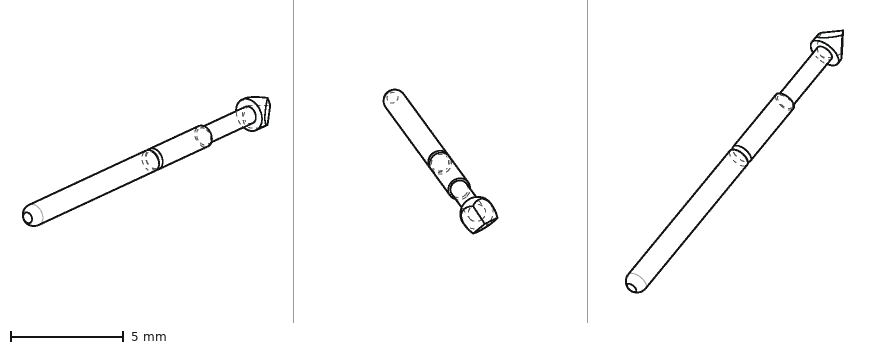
import cadquery as cq
import math

total_length = 17.0

head_diameter = 1.5
head_length = 1.5
facet_count = 3
facet_angle = 30.0

stem_diameter = 0.8
stem_length = 3.2

barrel_diameter = 1.0
tail_flat_diameter = 0.5
groove_offset = 3.575
groove_width = 0.25
groove_depth = 0.1

head_radius = head_diameter / 2
stem_radius = stem_diameter / 2
barrel_radius = barrel_diameter / 2
tail_flat_radius = tail_flat_diameter / 2

barrel_front = -stem_length
tail_end = head_length - total_length
dome_length = math.sqrt(barrel_radius**2 - tail_flat_radius**2)
dome_start = tail_end + dome_length


def turned_body():
    """Head blank, stem and barrel, turned around the Y axis."""
    groove_middle = barrel_front - groove_offset
    groove_front = groove_middle + groove_width / 2
    groove_rear = groove_middle - groove_width / 2
    groove_floor_radius = barrel_radius - groove_depth
    dome_middle_angle = math.acos(tail_flat_radius / barrel_radius) / 2
    dome_middle = (
        barrel_radius * math.cos(dome_middle_angle),
        dome_start - barrel_radius * math.sin(dome_middle_angle),
    )
    return (
        cq.Workplane("XY")
        .moveTo(0, head_length)
        .lineTo(head_radius, head_length)
        .lineTo(head_radius, 0)
        .lineTo(stem_radius, 0)
        .lineTo(stem_radius, barrel_front)
        .lineTo(barrel_radius, barrel_front)
        .lineTo(barrel_radius, groove_front)
        .threePointArc((groove_floor_radius, groove_middle), (barrel_radius, groove_rear))
        .lineTo(barrel_radius, dome_start)
        .threePointArc(dome_middle, (tail_flat_radius, tail_end))
        .lineTo(0, tail_end)
        .close()
        .revolve(360, (0, 0, 0), (0, 1, 0))
    )


def facet_cutter(turn):
    """Wedge outside one facet of the point; the facet faces +X before turning about Y."""
    reach = head_diameter
    facet_drop = reach / math.tan(math.radians(facet_angle))
    wedge = (
        cq.Workplane("XY")
        .moveTo(0, head_length)
        .lineTo(reach, head_length - facet_drop)
        .lineTo(reach, head_length + reach)
        .lineTo(0, head_length + reach)
        .close()
        .extrude(reach, both=True)
    )
    return wedge.rotate((0, 0, 0), (0, 1, 0), turn)


result = turned_body()
for facet in range(facet_count):
    result = result.cut(facet_cutter(facet * 360 / facet_count))